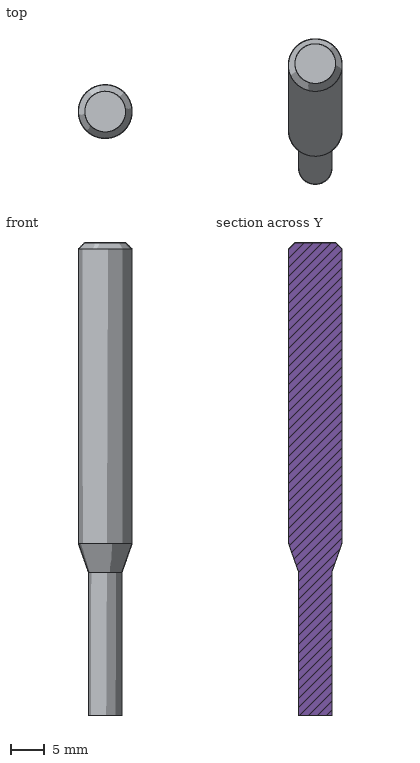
import cadquery as cq

total_length = 70.0
shank_diameter = 8.0
neck_diameter = 5.0
neck_length = 21.2
taper_length = 4.3
top_chamfer = 1.0

shank_radius = shank_diameter / 2
neck_radius = neck_diameter / 2
shank_start = neck_length + taper_length

half_profile = (
    cq.Workplane("XZ")
    .lineTo(neck_radius, 0)
    .lineTo(neck_radius, neck_length)
    .lineTo(shank_radius, shank_start)
    .lineTo(shank_radius, total_length - top_chamfer)
    .lineTo(shank_radius - top_chamfer, total_length)
    .lineTo(0, total_length)
    .close()
)

result = half_profile.revolve(360, (0, 0, 0), (0, 1, 0))